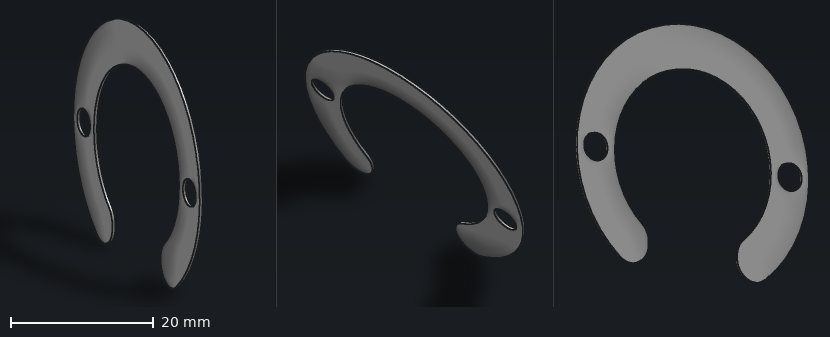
import cadquery as cq

outer_diameter = 39.45
inner_diameter = 26.5
thickness = 0.5

opening_width = 15.07
tip_radius = 3.0

hole_diameter = 4.0
hole_spacing = 33.0


def ring():
    """Full annular plate, with its thickness centred on Y = 0."""
    return (
        cq.Workplane("XZ")
        .circle(outer_diameter / 2)
        .circle(inner_diameter / 2)
        .extrude(thickness / 2, both=True)
    )


def opening():
    """Straight-sided block from the ring centre down past its lower edge."""
    return cq.Workplane("XY").box(
        opening_width, 2 * thickness, outer_diameter
    ).translate((0, 0, -outer_diameter / 2))


def holes():
    """Pins that cut the two through holes."""
    return (
        cq.Workplane("XZ")
        .pushPoints([(-hole_spacing / 2, 0), (hole_spacing / 2, 0)])
        .circle(hole_diameter / 2)
        .extrude(thickness, both=True)
    )


lower_half = cq.selectors.BoxSelector(
    (-opening_width, -thickness, -outer_diameter),
    (opening_width, thickness, -inner_diameter / 4),
)
open_ring = ring().cut(opening())
rounded_ring = open_ring.edges("|Y").edges(lower_half).fillet(tip_radius)

result = rounded_ring.cut(holes())